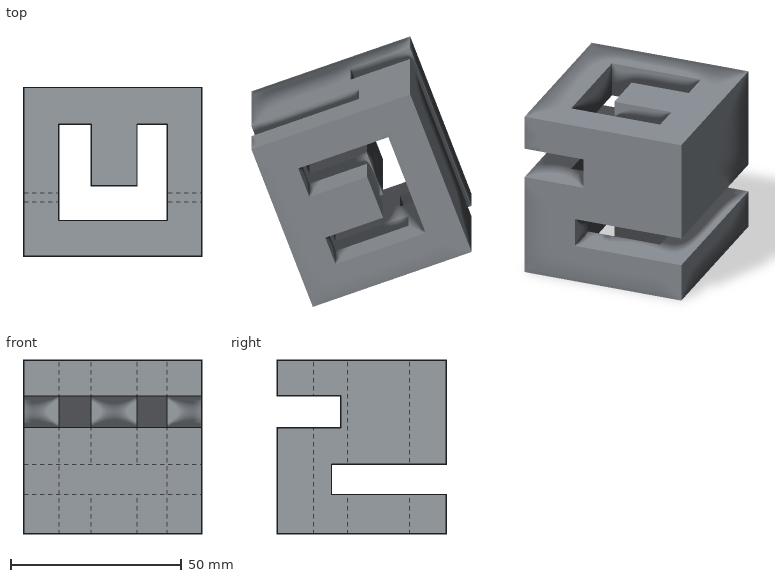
import cadquery as cq

width = 52.25
depth = 49.65
height = 51.0

opening_left = 10.3
opening_right = 42.1
opening_front = 10.6
opening_back = 38.8
tongue_left = 19.75
tongue_right = 33.3
tongue_front = 20.7

front_slot_depth = 18.6
front_slot_bottom = 31.2
front_slot_top = 40.5
back_slot_depth = 33.65
back_slot_bottom = 11.6
back_slot_top = 20.4


def box_between(x_range, y_range, z_range):
    """Box spanning the given (low, high) limits along each axis."""
    sizes = [high - low for low, high in (x_range, y_range, z_range)]
    corner = (x_range[0], y_range[0], z_range[0])
    return cq.Workplane("XY").box(*sizes, centered=False).translate(corner)


full_width = (0, width)
full_height = (0, height)

block = box_between(full_width, (0, depth), full_height)

opening = box_between(
    (opening_left, opening_right), (opening_front, opening_back), full_height
)
tongue = box_between(
    (tongue_left, tongue_right), (tongue_front, opening_back), full_height
)

front_slot = box_between(
    full_width, (0, front_slot_depth), (front_slot_bottom, front_slot_top)
)
back_slot = box_between(
    full_width, (depth - back_slot_depth, depth), (back_slot_bottom, back_slot_top)
)

result = block.cut(opening.cut(tongue)).cut(front_slot).cut(back_slot)